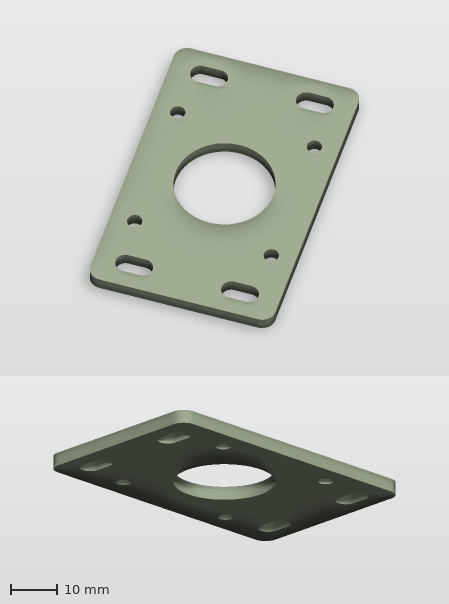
import cadquery as cq

width = 42.0
length = 66
thickness = 3.0
corner_radius = 3.0

bore_diameter = 22.1
screw_diameter = 3.3
screw_spacing = 31

slot_length = 8.4
slot_width = 4.4
slot_spacing_x = 24.0
slot_spacing_y = 54.0

plate = cq.Workplane("XY").box(width, length, thickness).edges("|Z").fillet(corner_radius)

plate = plate.faces(">Z").workplane().hole(bore_diameter)

plate = (
    plate.faces(">Z").workplane()
    .rarray(screw_spacing, screw_spacing, 2, 2)
    .hole(screw_diameter)
)

result = (
    plate.faces(">Z").workplane()
    .rarray(slot_spacing_x, slot_spacing_y, 2, 2)
    .slot2D(slot_length, slot_width)
    .cutThruAll()
)